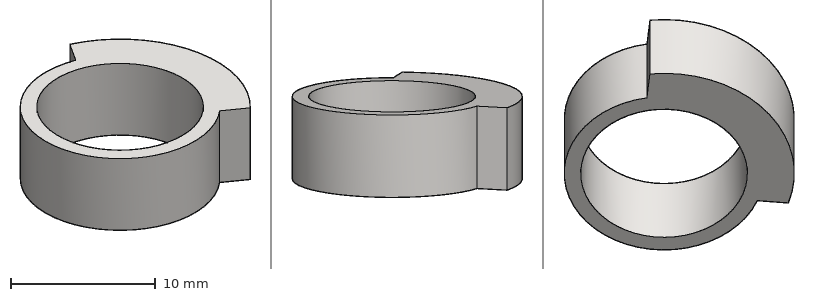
import cadquery as cq
import math

height = 5.8
bore_radius = 5.75
ring_radius = 6.9
overall_length = 15.9
cam_radius = overall_length - ring_radius
cam_width = 15.05

tip_x = cam_width / 2
tip_y = math.sqrt(cam_radius**2 - tip_x**2)
apex_y = tip_y - tip_x


def make_ring():
    return cq.Workplane("XY").circle(ring_radius).extrude(height)


def make_cam():
    return (
        cq.Workplane("XY")
        .moveTo(0, apex_y)
        .lineTo(tip_x, tip_y)
        .threePointArc((0, cam_radius), (-tip_x, tip_y))
        .close()
        .extrude(height)
    )


def make_bore():
    return cq.Workplane("XY").circle(bore_radius).extrude(height)


result = make_ring().union(make_cam()).cut(make_bore())